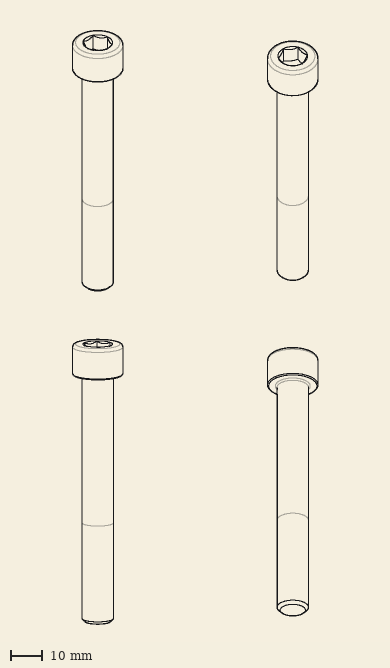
import cadquery as cq
import math

total_length = 90.0
head_diameter = 16.0
head_height = 10.0
head_top_radius = 1.0
head_bottom_chamfer = 0.4
shank_diameter = 10.0
neck_radius = 0.5
thread_length = 32.0
tip_chamfer = 1.0

socket_across_flats = 8.0
socket_depth = 5.0
socket_mouth_diameter = 9.4
socket_mouth_slope = 45.0
floor_cone_slope = 30.0
floor_flat_diameter = 1.4

head_radius = head_diameter / 2
shank_radius = shank_diameter / 2
seat_z = total_length - head_height
socket_across_corners = socket_across_flats / math.cos(math.radians(30))


def cone_between(top_radius, bottom_radius, top_z, slope):
    """Downward tapering solid cone frustum about Z."""
    height = (top_radius - bottom_radius) * math.tan(math.radians(slope))
    return cq.Workplane("XY").add(
        cq.Solid.makeCone(bottom_radius, top_radius, height, cq.Vector(0, 0, top_z - height))
    )


def make_upper_body():
    """Head and plain shank, revolved with the rounded neck between them."""
    arc_factor = math.sqrt(0.5)
    top_arc_radius = head_radius - head_top_radius * (1 - arc_factor)
    top_arc_z = total_length - head_top_radius * (1 - arc_factor)
    neck_arc_radius = shank_radius + neck_radius * (1 - arc_factor)
    neck_arc_z = seat_z - neck_radius * (1 - arc_factor)
    return (
        cq.Workplane("XZ")
        .moveTo(0, thread_length)
        .lineTo(shank_radius, thread_length)
        .lineTo(shank_radius, seat_z - neck_radius)
        .threePointArc((neck_arc_radius, neck_arc_z), (shank_radius + neck_radius, seat_z))
        .lineTo(head_radius - head_bottom_chamfer, seat_z)
        .lineTo(head_radius, seat_z + head_bottom_chamfer)
        .lineTo(head_radius, total_length - head_top_radius)
        .threePointArc((top_arc_radius, top_arc_z), (head_radius - head_top_radius, total_length))
        .lineTo(0, total_length)
        .close()
        .revolve(360, (0, 0, 0), (0, 1, 0))
    )


def make_thread_section():
    """Threaded length as a plain cylinder with a chamfered tip."""
    return (
        cq.Workplane("XY")
        .circle(shank_radius)
        .extrude(thread_length)
        .faces("<Z")
        .chamfer(tip_chamfer)
    )


def make_socket():
    """Hexagon with corners on X, a conical lead-in and a conical floor."""
    floor_z = total_length - socket_depth
    floor_flat_radius = floor_flat_diameter / 2
    corner_radius = socket_across_corners / 2
    hexagon = cq.Workplane("XY").polygon(6, socket_across_corners).extrude(total_length)
    drill_bore = cq.Workplane("XY").workplane(offset=floor_z).circle(corner_radius).extrude(socket_depth)
    drill_tip = cone_between(corner_radius, floor_flat_radius, floor_z, floor_cone_slope)
    lead_in = cone_between(
        socket_mouth_diameter / 2, floor_flat_radius, total_length, socket_mouth_slope
    )
    return drill_bore.union(drill_tip).intersect(hexagon).union(lead_in)


screw = make_upper_body().union(make_thread_section(), clean=False)
result = screw.cut(make_socket(), clean=False)